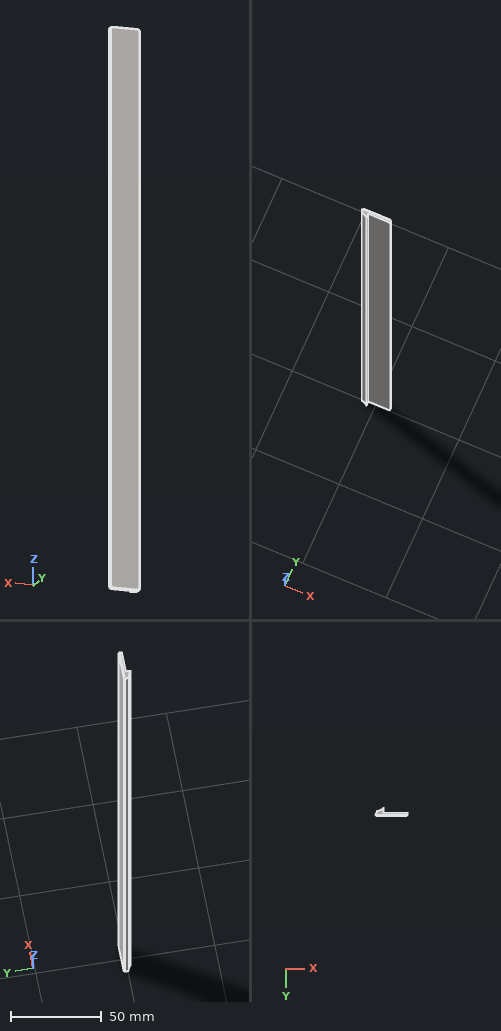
import cadquery as cq

length = 322.0
width = 17.7
depth = 4.5

plate_thickness = 2.0
lip_width = 4.5
side_inset = 1.0
side_depth = 3.0
lip_sag = 0.3
corner_radius = 2.0
back_bevel = 0.5

lip_start = (side_inset, -side_depth)
lip_tip = (lip_width, -depth)


def make_strip():
    """Extrude the plate and its hooked lip along Z."""
    return (
        cq.Workplane("XY")
        .moveTo(0, 0)
        .lineTo(0, -back_bevel)
        .lineTo(*lip_start)
        .sagittaArc(lip_tip, lip_sag)
        .lineTo(lip_width, -plate_thickness)
        .lineTo(width, -plate_thickness)
        .lineTo(width, 0)
        .close()
        .extrude(length)
    )


def make_corner_envelope():
    """Rounded block with a bevelled back that trims the outline of the strip."""
    return (
        cq.Workplane("XY")
        .box(width, depth, length, centered=False)
        .translate((0, -depth, 0))
        .edges("|Y")
        .fillet(corner_radius)
        .faces(">Y")
        .chamfer(back_bevel)
    )


result = make_strip().intersect(make_corner_envelope())